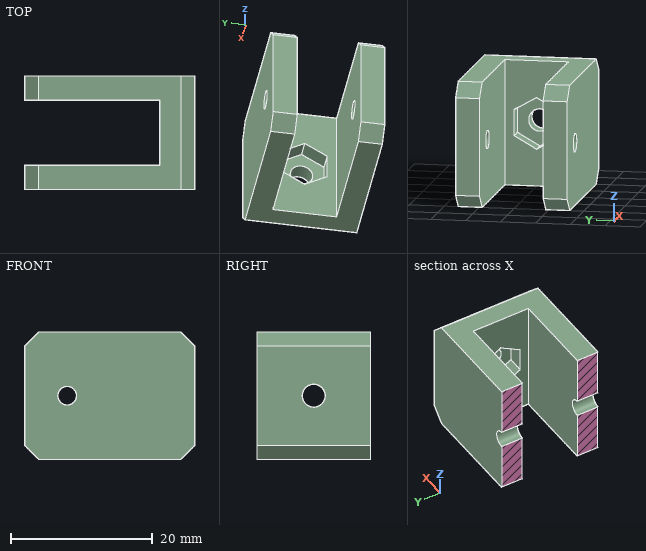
import cadquery as cq
import math

length = 24.0
width = 16.0
height = 18.0
corner_chamfer = 2.0

slot_depth = 19.03
slot_width = 9.12

pin_diameter = 2.6
pin_from_open_end = 6.0

bolt_diameter = 3.2
nut_across_flats = 6.43
nut_pocket_depth = 2.5

open_end_x = -length / 2
slot_floor_x = open_end_x + slot_depth
nut_across_corners = nut_across_flats / math.cos(math.pi / 6)

body = cq.Workplane("XY").box(length, width, height).edges("|Y").chamfer(corner_chamfer)

slot = cq.Workplane("XY").box(slot_depth, slot_width, height).translate(
    (open_end_x + slot_depth / 2, 0, 0)
)

pin_hole = (
    cq.Workplane("XZ")
    .center(open_end_x + pin_from_open_end, 0)
    .circle(pin_diameter / 2)
    .extrude(width / 2, both=True)
)

bolt_hole = (
    cq.Workplane("YZ", origin=(slot_floor_x, 0, 0))
    .circle(bolt_diameter / 2)
    .extrude(length - slot_depth)
)

nut_pocket = (
    cq.Workplane("YZ", origin=(slot_floor_x, 0, 0))
    .transformed(rotate=(0, 0, 90))
    .polygon(6, nut_across_corners)
    .extrude(nut_pocket_depth)
)

result = body.cut(slot).cut(pin_hole).cut(bolt_hole).cut(nut_pocket)